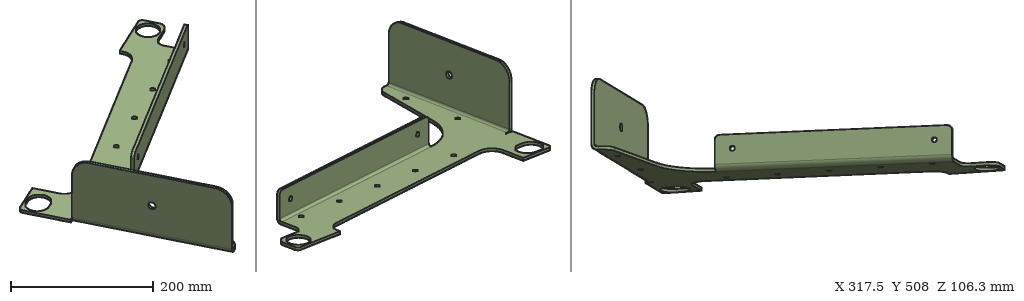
import cadquery as cq
import math

thickness = 4.8
bend_inner_radius = 3.95
bend_outer_radius = bend_inner_radius + thickness

plate_length_x = 317.5
plate_length_y = 508.0
arm_angle = math.radians(6.6)
foot_angle = math.radians(10.8)
arm_top_y = 457.0
arm_left_x = 22.5
arm_right_x = 82.0
foot_tip_y = 26.5
upper_tab_width = 41.0
upper_tab_bottom_y = 423.5
lower_tab_top_y = 57.5

tab_corner_radius = 6.0
tab_outer_corner_radius = 12.5
tab_inner_radius = 12.5
arm_upper_radius = 19.5
arm_lower_radius = 22.5
arm_foot_radius = 76.0
foot_tip_radius = 19.5

tab_hole_x = 20.5
tab_hole_diameter = 34.5
upper_hole_y = 486.0
lower_slot_y = 25.0
lower_slot_length = 42.0
small_hole_diameter = 7.0
arm_hole_x = 76.0
arm_hole_first_y = 119.5
arm_hole_pitch = 76.0
arm_hole_count = 5
foot_hole_y = 22.5
foot_hole_xs = (164.0, 265.5)

front_flange_start_x = 79.0
front_flange_width = plate_length_x - front_flange_start_x
front_flange_height = 101.5 + thickness
front_flange_corner_radius = 25.5
front_flange_hole_diameter = 11.0
front_flange_hole_z = 55.5
relief_width = 1.5
relief_depth = 12.0

side_flange_bottom_y = 119.0
side_flange_length = (arm_top_y - side_flange_bottom_y) / math.cos(arm_angle)
side_flange_height = 51.0
side_flange_corner_radius = 7.5
side_flange_hole_inset = 25.5
side_flange_hole_z = 30.5


def arm_edge_x(x_start, y_start, y):
    """X on an edge parallel to the arm that passes through (x_start, y_start)."""
    return x_start + (y_start - y) * math.tan(arm_angle)


def arm_foot_corner():
    """Sharp intersection of the right arm edge and the tapered foot edge."""
    arm_slope = math.tan(arm_angle)
    foot_slope = math.tan(foot_angle)
    x_at_y_zero = arm_edge_x(arm_right_x, arm_top_y, 0)
    foot_y_at_x_zero = foot_tip_y + plate_length_x * foot_slope
    y = (foot_y_at_x_zero - foot_slope * x_at_y_zero) / (1 - foot_slope * arm_slope)
    return x_at_y_zero - arm_slope * y, y


def make_plate():
    upper_left = (arm_left_x, upper_tab_bottom_y)
    lower_left = (arm_edge_x(*upper_left, lower_tab_top_y), lower_tab_top_y)
    inner_corner = arm_foot_corner()
    foot_tip = (plate_length_x, foot_tip_y)
    tab_notch = (upper_tab_width, arm_top_y)
    tab_right = (upper_tab_width, plate_length_y)
    tab_left = (0, plate_length_y)
    outline = [
        (0, 0),
        (front_flange_start_x, 0),
        (front_flange_start_x, bend_outer_radius),
        (plate_length_x, bend_outer_radius),
        foot_tip,
        inner_corner,
        (arm_right_x, arm_top_y),
        tab_notch,
        tab_right,
        tab_left,
        (0, upper_tab_bottom_y),
        upper_left,
        lower_left,
        (0, lower_tab_top_y),
    ]
    plate = cq.Workplane("XY").polyline(outline).close().extrude(thickness)
    corner_radii = [
        ((0, 0), tab_corner_radius),
        (foot_tip, foot_tip_radius),
        (inner_corner, arm_foot_radius),
        (tab_notch, tab_inner_radius),
        (tab_right, tab_outer_corner_radius),
        (tab_left, tab_corner_radius),
        (upper_left, arm_upper_radius),
        (lower_left, arm_lower_radius),
    ]
    for (x, y), radius in corner_radii:
        corner = cq.selectors.NearestToPointSelector((x, y, thickness / 2))
        plate = plate.edges("|Z").edges(corner).fillet(radius)
    return plate


def make_flange(width, height, corner_radius, hole_positions, hole_diameter):
    """Upright flange with its bend starting on the X axis and bulging towards -Y."""
    diagonal = math.sqrt(0.5)
    outer_face_y = -bend_outer_radius
    inner_face_y = -bend_inner_radius
    flange = (
        cq.Workplane("YZ")
        .moveTo(0, 0)
        .threePointArc(
            (-bend_outer_radius * diagonal, bend_outer_radius * (1 - diagonal)),
            (outer_face_y, bend_outer_radius),
        )
        .lineTo(outer_face_y, height)
        .lineTo(inner_face_y, height)
        .lineTo(inner_face_y, bend_outer_radius)
        .threePointArc(
            (-bend_inner_radius * diagonal, bend_outer_radius - bend_inner_radius * diagonal),
            (0, thickness),
        )
        .close()
        .extrude(width)
    )
    flange = flange.faces(">Z").edges("|Y").fillet(corner_radius)
    holes = (
        cq.Workplane("XZ")
        .pushPoints(hole_positions)
        .circle(hole_diameter / 2)
        .extrude(bend_outer_radius + thickness)
    )
    return flange.cut(holes)


def make_front_flange():
    hole = (front_flange_width / 2, front_flange_hole_z)
    flange = make_flange(
        front_flange_width,
        front_flange_height,
        front_flange_corner_radius,
        [hole],
        front_flange_hole_diameter,
    )
    return flange.translate((front_flange_start_x, bend_outer_radius, 0))


def make_side_flange():
    holes = [
        (side_flange_hole_inset, side_flange_hole_z),
        (side_flange_length - side_flange_hole_inset, side_flange_hole_z),
    ]
    flange = make_flange(
        side_flange_length,
        side_flange_height,
        side_flange_corner_radius,
        holes,
        small_hole_diameter,
    )
    start_x = arm_edge_x(arm_right_x, arm_top_y, side_flange_bottom_y)
    turn = 90 + math.degrees(arm_angle)
    return flange.rotate((0, 0, 0), (0, 0, 1), turn).translate((start_x, side_flange_bottom_y, 0))


def make_plate_cutouts():
    small_holes = [(arm_hole_x, arm_hole_first_y + i * arm_hole_pitch) for i in range(arm_hole_count)]
    small_holes += [(x, foot_hole_y) for x in foot_hole_xs]
    cutouts = cq.Workplane("XY").pushPoints(small_holes).circle(small_hole_diameter / 2).extrude(thickness)
    upper_hole = (
        cq.Workplane("XY").center(tab_hole_x, upper_hole_y).circle(tab_hole_diameter / 2).extrude(thickness)
    )
    lower_slot = (
        cq.Workplane("XY")
        .center(tab_hole_x, lower_slot_y)
        .slot2D(lower_slot_length, tab_hole_diameter, 90)
        .extrude(thickness)
    )
    bend_relief = (
        cq.Workplane("XY")
        .box(relief_width, relief_depth, thickness, centered=False)
        .translate((front_flange_start_x - relief_width, 0, 0))
    )
    return cutouts.union(upper_hole).union(lower_slot).union(bend_relief)


plate = make_plate().cut(make_plate_cutouts())
result = plate.union(make_front_flange()).union(make_side_flange())